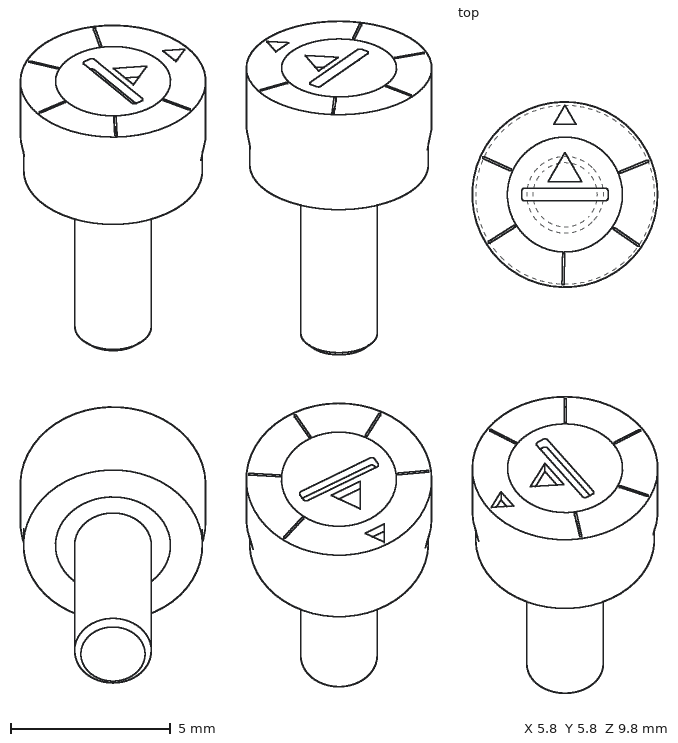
import cadquery as cq
import math

TOTAL_HEIGHT = 9.8
SHAFT_DIAMETER = 2.4
SHAFT_CHAMFER = 0.2

RING_DIAMETER = 5.8
RING_FOOT_DIAMETER = 5.6
RING_HEIGHT = 3.5
UPPER_BAND_HEIGHT = 2.13
TAPER_HEIGHT = 0.57
BORE_DIAMETER = 3.6

RECESS_DEPTH = 0.4
SLOT_LENGTH = 2.7
SLOT_WIDTH = 0.4
SLOT_CORNER_RADIUS = 0.1
ARROW_SIDE = 1.05
ARROW_TIP_Y = 1.31
RING_ARROW_SIDE = 0.7
RING_ARROW_TIP_Y = 2.79

DIVIDER_COUNT = 5
DIVIDER_PITCH_ANGLE = 56.6
FIRST_DIVIDER_ANGLE = 155.6
DIVIDER_INNER_RADIUS = 1.84
DIVIDER_OUTER_RADIUS = 2.82
DIVIDER_WIDTH = 0.07

RING_BOTTOM_Z = TOTAL_HEIGHT - RING_HEIGHT
TAPER_TOP_Z = TOTAL_HEIGHT - UPPER_BAND_HEIGHT
TAPER_BOTTOM_Z = TAPER_TOP_Z - TAPER_HEIGHT


def arrow_cutter(side, tip_y):
    """Equilateral triangular prism pointing to +Y, sunk from the top face."""
    base_y = tip_y - side * math.sqrt(3) / 2
    return (
        cq.Workplane("XY", origin=(0, 0, TOTAL_HEIGHT))
        .polyline([(-side / 2, base_y), (side / 2, base_y), (0, tip_y)])
        .close()
        .extrude(-RECESS_DEPTH)
    )


def divider_cutter(angle):
    """Narrow round-ended radial groove at the given angle about Z."""
    return (
        cq.Workplane("XY", origin=(0, 0, TOTAL_HEIGHT))
        .center((DIVIDER_INNER_RADIUS + DIVIDER_OUTER_RADIUS) / 2, 0)
        .slot2D(DIVIDER_OUTER_RADIUS - DIVIDER_INNER_RADIUS, DIVIDER_WIDTH)
        .extrude(-RECESS_DEPTH)
        .rotate((0, 0, 0), (0, 0, 1), angle)
    )


def make_ring():
    """Stepped ring with a plain through bore, an arrow and divider grooves."""
    bore_radius = BORE_DIAMETER / 2
    outer_radius = RING_DIAMETER / 2
    foot_radius = RING_FOOT_DIAMETER / 2
    ring = (
        cq.Workplane("XZ")
        .polyline([
            (bore_radius, RING_BOTTOM_Z),
            (foot_radius, RING_BOTTOM_Z),
            (foot_radius, TAPER_BOTTOM_Z),
            (outer_radius, TAPER_TOP_Z),
            (outer_radius, TOTAL_HEIGHT),
            (bore_radius, TOTAL_HEIGHT),
        ])
        .close()
        .revolve(360, (0, 0, 0), (0, 1, 0))
    )
    ring = ring.cut(arrow_cutter(RING_ARROW_SIDE, RING_ARROW_TIP_Y))
    for index in range(DIVIDER_COUNT):
        ring = ring.cut(divider_cutter(FIRST_DIVIDER_ANGLE + index * DIVIDER_PITCH_ANGLE))
    return ring


def make_insert():
    """Core that fills the ring's bore, with a chamfered shaft below it."""
    shaft = (
        cq.Workplane("XY")
        .circle(SHAFT_DIAMETER / 2)
        .extrude(RING_BOTTOM_Z)
        .faces("<Z")
        .chamfer(SHAFT_CHAMFER)
    )
    head = (
        cq.Workplane("XY", origin=(0, 0, RING_BOTTOM_Z))
        .circle(BORE_DIAMETER / 2)
        .extrude(RING_HEIGHT)
    )
    slot = (
        cq.Workplane("XY", origin=(0, 0, TOTAL_HEIGHT))
        .rect(SLOT_LENGTH, SLOT_WIDTH)
        .extrude(-RECESS_DEPTH)
        .edges("|Z")
        .fillet(SLOT_CORNER_RADIUS)
    )
    return shaft.union(head).cut(slot).cut(arrow_cutter(ARROW_SIDE, ARROW_TIP_Y))


ring = make_ring()
insert = make_insert()

result = cq.Compound.makeCompound([ring.val(), insert.val()])